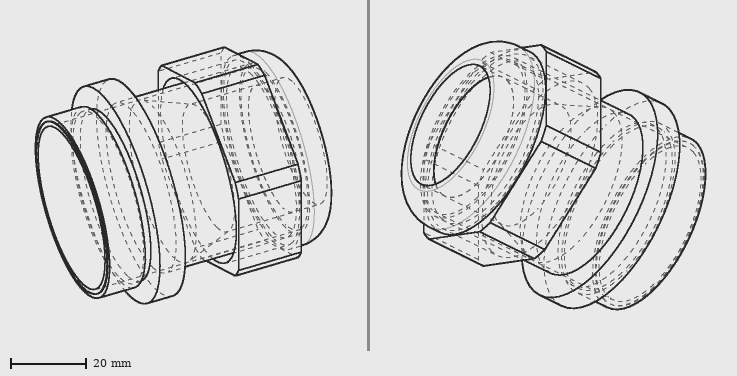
import cadquery as cq
import math


total_length = 66.15
thread_length = 10.5
flange_start = 12.65
flange_end = 20.0
nut_start = 36.6
hex_end = 54.7
dome_start = 58.5
seal_start = 26.2

flange_dia = 60.0
thread_dia = 50.0
neck_dia = 47.6
barrel_dia = 47.0
bore_dia = 45.0
thread_lip_dia = 47.6
thread_lip_length = 0.25

hex_across_flats = 54.1
hex_corner_dia = flange_dia
collar_dia = 53.5
relief_dia = 51.1
nut_opening_dia = 35.0
dome_radius = total_length - dome_start

seal_bore_dia = 35.2
seal_taper_length = 13.2


def cylinder(diameter, start, end):
    """Solid cylinder on the Y axis between two axial positions."""
    return cq.Workplane("XZ", origin=(0, start, 0)).circle(diameter / 2).extrude(start - end)


def make_body():
    """Tube with a thin lip at the thread end, a relief neck, a flange and a barrel."""
    profile = (
        cq.Workplane("XY")
        .moveTo(bore_dia / 2, 0)
        .lineTo(thread_lip_dia / 2, 0)
        .lineTo(thread_lip_dia / 2, thread_lip_length)
        .lineTo(thread_dia / 2, thread_lip_length)
        .lineTo(thread_dia / 2, thread_length)
        .lineTo(neck_dia / 2, thread_length)
        .lineTo(neck_dia / 2, flange_start)
        .lineTo(flange_dia / 2, flange_start)
        .lineTo(flange_dia / 2, flange_end)
        .lineTo(barrel_dia / 2, flange_end)
        .lineTo(barrel_dia / 2, dome_start)
        .lineTo(bore_dia / 2, dome_start)
        .close()
    )
    return profile.revolve(360, (0, 0, 0), (0, 1, 0))


def make_nut():
    """Dome nut: rounded-corner hexagon, round collar and rounded cap."""
    hexagon = (
        cq.Workplane("XZ", origin=(0, nut_start, 0))
        .transformed(rotate=(0, 0, 90))
        .polygon(6, hex_across_flats / math.cos(math.pi / 6))
        .extrude(nut_start - hex_end)
        .intersect(cylinder(hex_corner_dia, nut_start, hex_end))
    )
    cap = cylinder(collar_dia, hex_end, total_length).faces(">Y").edges().fillet(dome_radius)
    relief = cylinder(relief_dia, nut_start, hex_end)
    barrel_socket = cylinder(barrel_dia, hex_end, dome_start)
    opening = cylinder(nut_opening_dia, dome_start, total_length)
    return hexagon.union(cap).cut(relief).cut(barrel_socket).cut(opening)


def make_seal():
    """Sealing sleeve inside the body, with a conical lead-in to its bore."""
    profile = (
        cq.Workplane("XY")
        .moveTo(bore_dia / 2, seal_start)
        .lineTo(seal_bore_dia / 2, seal_start + seal_taper_length)
        .lineTo(seal_bore_dia / 2, dome_start)
        .lineTo(bore_dia / 2, dome_start)
        .close()
    )
    return profile.revolve(360, (0, 0, 0), (0, 1, 0))


body = make_body()
nut = make_nut()
seal = make_seal()

result = cq.Compound.makeCompound([body.val(), nut.val(), seal.val()])